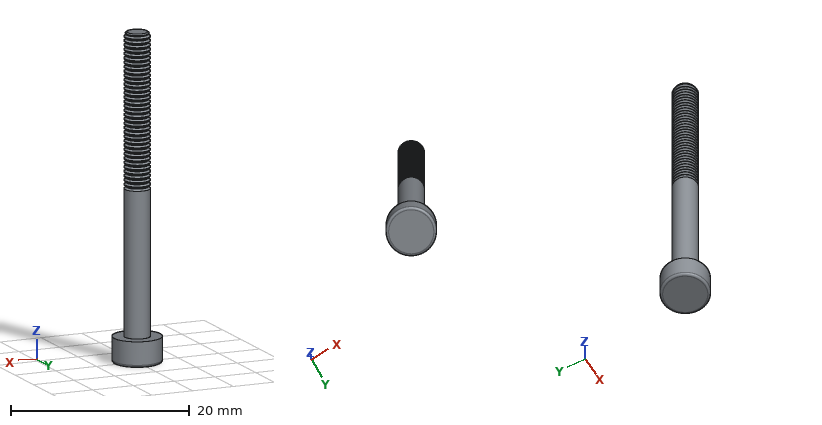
import cadquery as cq
import math

total_length = 38.0
head_diameter = 5.65
head_height = 3.0
head_edge_radius = 0.3
shank_diameter = 3.0
thread_length = 18.0
thread_turns = 36
root_diameter = 2.4
flank_half_angle = 30.0

shank_radius = shank_diameter / 2
root_radius = root_diameter / 2
thread_start = total_length - thread_length
pitch = thread_length / thread_turns
crest_flat = pitch / 8
flank_width = (shank_radius - root_radius) * math.tan(math.radians(flank_half_angle))
root_flat = pitch - crest_flat - 2 * flank_width
end_chamfer = shank_radius - root_radius


def make_head():
    head = cq.Workplane("XY").circle(head_diameter / 2).extrude(head_height)
    return head.faces("<Z").edges().fillet(head_edge_radius)


def make_threaded_shank():
    """Revolve the shank with ring-shaped V grooves, one per pitch, and chamfer its end."""
    profile = [(0, head_height), (shank_radius, head_height)]
    for turn in range(thread_turns):
        groove_start = thread_start + turn * pitch
        root_start = groove_start + flank_width
        root_end = root_start + root_flat
        profile += [
            (shank_radius, groove_start),
            (root_radius, root_start),
            (root_radius, root_end),
            (shank_radius, root_end + flank_width),
        ]
    profile += [(shank_radius, total_length), (0, total_length)]
    shank = cq.Workplane("XZ").polyline(profile).close().revolve(360, (0, 0), (0, 1))
    return shank.intersect(make_end_envelope())


def make_end_envelope():
    """Plain cylinder whose chamfered end runs from the root diameter out to the full diameter."""
    envelope = cq.Workplane("XY").workplane(offset=head_height).circle(shank_radius)
    return envelope.extrude(total_length - head_height).faces(">Z").chamfer(end_chamfer)


result = make_head().union(make_threaded_shank())